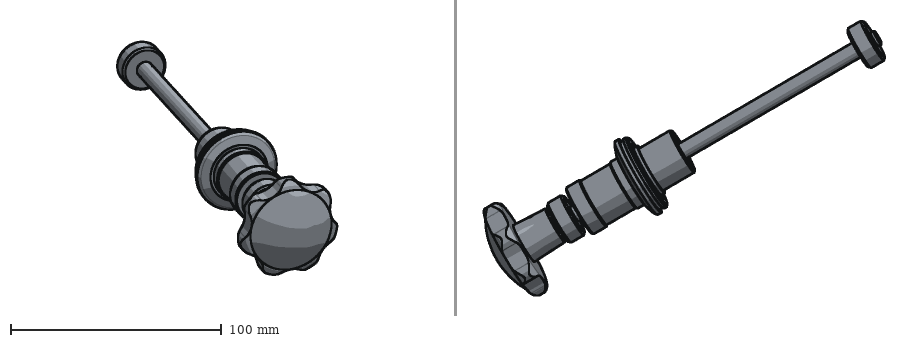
import cadquery as cq
import math

LENGTH = 210.0

ROD_R = 4.0
TIP_R = 3.8
TIP_CHAMFER = 0.5
CENTRE_HOLE_R = 1.7
CENTRE_HOLE_DEPTH = 1.3

WASHER_R = 11.0
WASHER_WIDTH = 9.0
WASHER_CHAMFER = 1.0
WASHER_STARTS = (2.0, 167.4)

NOSE_START = 107.3
NOSE_R = 11.5
NOSE_CHAMFER = 0.6
NOSE_RECESS_R = 8.8
NOSE_RECESS_DEPTH = 0.8
STEP_START = 125.0
STEP_R = 13.0
FLANGE_START = 126.8
FLANGE_R = 19.1
FLANGE_CHAMFER = 0.8
RELIEF_START = 129.2
RELIEF_R = 18.5
RIM_START = 131.0
RIM_END = 133.1
RIM_R = 20.2
RIM_SHOULDER_X = 134.2
RIM_SHOULDER_R = 18.7
FLANGE_END = 135.7
FLANGE_END_R = 14.5
NECK_END = 139.9
NECK_R = 12.8
BARREL_R = 12.2
COLLAR_START = 156.5
COLLAR_END = 164.6
COLLAR_CHAMFER = 0.6

RING_GROOVE_R = 15.1
RING_GROOVE_WIDTH = 0.6
RING_GROOVE_DEPTH = 0.6

HUB_START = 177.9
HUB_START_R = 9.2
HUB_END_R = 10.0
PIN_X = 185.8
PIN_HOLE_R = 1.0

KNOB_START = 195.0
KNOB_EDGE_X = 204.3
KNOB_EDGE_R = 20.5
LOBES = 7
LOBE_R = 5.5
LOBE_CENTRE_R = 19.5
LOBE_ARC_HALF_ANGLE = math.radians(57)
KNOB_R = LOBE_CENTRE_R + LOBE_R

DOME_RADIUS = (KNOB_EDGE_R**2 + (LENGTH - KNOB_EDGE_X) ** 2) / (2 * (LENGTH - KNOB_EDGE_X))


def cylinder(radius, start, end):
    """Round bar along X from start to end."""
    return cq.Workplane("YZ", origin=(start, 0, 0)).circle(radius).extrude(end - start)


def turn(outline):
    """Solid of revolution about X from (x, radius) points running along its outside."""
    closed = [(outline[0][0], 0)] + outline + [(outline[-1][0], 0)]
    return cq.Workplane("XY").polyline(closed).close().revolve(360, (0, 0, 0), (1, 0, 0))


def make_rod():
    rod = cylinder(ROD_R, WASHER_STARTS[0], KNOB_START)
    tip = cylinder(TIP_R, 0, WASHER_STARTS[0]).faces("<X").chamfer(TIP_CHAMFER)
    centre_hole = cylinder(CENTRE_HOLE_R, 0, CENTRE_HOLE_DEPTH)
    return rod.union(tip).cut(centre_hole)


def make_washer(start):
    return cylinder(WASHER_R, start, start + WASHER_WIDTH).edges("%CIRCLE").chamfer(WASHER_CHAMFER)


def make_body():
    collar_ramp = NECK_R - BARREL_R
    body = turn([
        (NOSE_START, NOSE_R - NOSE_CHAMFER),
        (NOSE_START + NOSE_CHAMFER, NOSE_R),
        (STEP_START, NOSE_R),
        (STEP_START, STEP_R),
        (FLANGE_START, STEP_R),
        (FLANGE_START, FLANGE_R - FLANGE_CHAMFER),
        (FLANGE_START + FLANGE_CHAMFER, FLANGE_R),
        (RELIEF_START, FLANGE_R),
        (RELIEF_START, RELIEF_R),
        (RIM_START, RELIEF_R),
        (RIM_START, RIM_R),
        (RIM_END, RIM_R),
        (RIM_SHOULDER_X, RIM_SHOULDER_R),
        (FLANGE_END, FLANGE_END_R),
        (FLANGE_END, NECK_R),
        (NECK_END, NECK_R),
        (NECK_END + collar_ramp, BARREL_R),
        (COLLAR_START, BARREL_R),
        (COLLAR_START + collar_ramp, NECK_R),
        (COLLAR_END - COLLAR_CHAMFER, NECK_R),
        (COLLAR_END, NECK_R - COLLAR_CHAMFER),
    ])
    recess = cylinder(NOSE_RECESS_R, NOSE_START, NOSE_START + NOSE_RECESS_DEPTH)
    groove_end = FLANGE_START + RING_GROOVE_DEPTH
    groove = cylinder(RING_GROOVE_R, FLANGE_START, groove_end).cut(
        cylinder(RING_GROOVE_R - RING_GROOVE_WIDTH, FLANGE_START, groove_end)
    )
    return body.cut(recess).cut(groove)


def star_outline():
    """Closed star on the YZ plane: convex lobe tips joined tangentially by hollow arcs."""
    half_pitch = math.pi / LOBES
    u_end = LOBE_CENTRE_R + LOBE_R * math.cos(LOBE_ARC_HALF_ANGLE)
    v_end = LOBE_R * math.sin(LOBE_ARC_HALF_ANGLE)
    end_radius = math.hypot(u_end, v_end)
    end_angle = math.atan2(v_end, u_end)
    reach = LOBE_CENTRE_R * math.sin(half_pitch) / math.sin(LOBE_ARC_HALF_ANGLE - half_pitch)
    hollow_centre_r = LOBE_CENTRE_R * math.sin(LOBE_ARC_HALF_ANGLE) / math.sin(
        LOBE_ARC_HALF_ANGLE - half_pitch
    )
    valley_radius = hollow_centre_r - (reach - LOBE_R)

    def polar(radius, angle):
        return (radius * math.cos(angle), radius * math.sin(angle))

    first_axis = math.pi / 2
    outline = cq.Workplane("YZ", origin=(KNOB_START, 0, 0)).moveTo(
        *polar(end_radius, first_axis - end_angle)
    )
    for lobe in range(LOBES):
        axis = first_axis + 2 * half_pitch * lobe
        outline = outline.threePointArc(polar(KNOB_R, axis), polar(end_radius, axis + end_angle))
        outline = outline.threePointArc(
            polar(valley_radius, axis + half_pitch),
            polar(end_radius, axis + 2 * half_pitch - end_angle),
        )
    return outline.close()


def make_knob():
    """Domed disc with a half-round rim, trimmed to the star."""
    rounding_r = (KNOB_EDGE_X - KNOB_START) / 2
    half_edge_r = KNOB_EDGE_R / 2
    dome_centre_x = LENGTH - DOME_RADIUS
    dome_mid_x = dome_centre_x + math.sqrt(DOME_RADIUS**2 - half_edge_r**2)
    blank = (
        cq.Workplane("XY")
        .moveTo(KNOB_START, 0)
        .lineTo(KNOB_START, KNOB_EDGE_R)
        .threePointArc((KNOB_START + rounding_r, KNOB_EDGE_R + rounding_r), (KNOB_EDGE_X, KNOB_EDGE_R))
        .threePointArc((dome_mid_x, half_edge_r), (LENGTH, 0))
        .close()
        .revolve(360, (0, 0, 0), (1, 0, 0))
    )
    return blank.intersect(star_outline().extrude(LENGTH - KNOB_START))


def make_hub():
    return turn([(HUB_START, HUB_START_R), (KNOB_START, HUB_END_R)])


def make_pin_hole():
    """Cutter along Y that passes right through the hub."""
    return cq.Workplane("XZ").center(PIN_X, 0).circle(PIN_HOLE_R).extrude(HUB_END_R, both=True)


result = make_rod().union(make_body()).union(make_hub()).union(make_knob())
for washer_start in WASHER_STARTS:
    result = result.union(make_washer(washer_start))
result = result.cut(make_pin_hole())